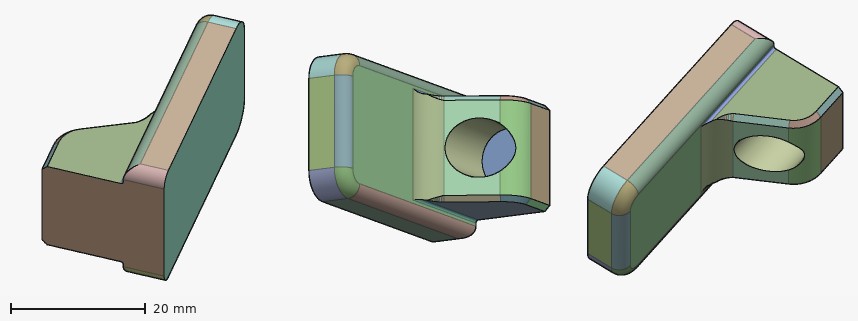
import cadquery as cq
import math

length = 38.0
height = 22.0
plate_thickness = 6.42
edge_round = 2.0
far_corner_radius = 4.0
near_corner_radius = edge_round

overall_depth = 19.15
boss_height = 16.15
boss_chamfer = 0.85
root_radius = 0.4
slope_angle = math.radians(28)
blend_radius = 5.0
boss_end_y = 18.35
taper_end_drop = 2.75
taper_steps = 8
nose_start_y = 5.55

hole_diameter = 9.0
hole_x = -13.75
hole_floor_y = 3.0

plate_x = -plate_thickness
boss_x = -overall_depth

turn = math.pi / 2 - slope_angle
foot_centre_x = plate_x - blend_radius
taper_end_turn = math.asin(taper_end_drop / blend_radius)


def make_plate():
    overrun = far_corner_radius
    plate = (
        cq.Workplane("XY")
        .box(plate_thickness, length + overrun, height, centered=(False, False, True))
        .translate((plate_x, -overrun, 0))
        .edges("|X and >Y").fillet(far_corner_radius)
        .faces("<X").edges("not <Y").fillet(edge_round)
    )
    envelope = (
        cq.Workplane("XY")
        .box(plate_thickness, length, height, centered=(False, False, True))
        .translate((plate_x, 0, 0))
        .edges("|X and <Y").fillet(near_corner_radius)
    )
    return plate.intersect(envelope)


def nose_point(angle):
    x = boss_x + blend_radius * (1 - math.cos(angle))
    y = nose_start_y + blend_radius * math.sin(angle)
    return (x, y)


def foot_point(angle, inset=0):
    radius = blend_radius + inset
    x = foot_centre_x + radius * math.cos(angle)
    y = boss_end_y - radius * math.sin(angle)
    return (x, y)


def make_sloped_block():
    solid = (
        cq.Workplane("XY")
        .moveTo(0, 0)
        .lineTo(boss_x, 0)
        .lineTo(boss_x, nose_start_y)
        .threePointArc(nose_point(turn / 2), nose_point(turn))
        .lineTo(*foot_point(turn))
        .lineTo(*foot_point(turn, plate_thickness))
        .close()
        .extrude(boss_height / 2, both=True)
    )
    return solid.edges("|Y and <X").chamfer(boss_chamfer)


def make_foot(foot_height):
    inner_x, inner_y = foot_point(turn, boss_chamfer)
    return (
        cq.Workplane("XY")
        .moveTo(*foot_point(turn))
        .threePointArc(foot_point(turn / 2), foot_point(0))
        .lineTo(0, boss_end_y)
        .lineTo(0, 0)
        .lineTo(inner_x, 0)
        .lineTo(inner_x, inner_y)
        .close()
        .extrude(foot_height / 2, both=True)
    )


def make_taper_cutter():
    clearance = 0.05
    wires = []
    for step in range(taper_steps + 1):
        angle = turn + (taper_end_turn - turn) * step / taper_steps
        drop = math.sin(angle) - math.sin(taper_end_turn)
        size = boss_chamfer * drop / (math.sin(turn) - math.sin(taper_end_turn))
        top = boss_height / 2
        section = [
            cq.Vector(*foot_point(angle, -clearance), top - size - clearance),
            cq.Vector(*foot_point(angle, size + clearance), top + clearance),
            cq.Vector(*foot_point(angle, -clearance), top + clearance),
        ]
        wires.append(cq.Wire.makePolygon(section, close=True))
    return cq.Workplane(cq.Solid.makeLoft(wires, True))


def make_root_fillets():
    root_x = plate_x - root_radius
    root_height = boss_height + 2 * root_radius
    strip = (
        cq.Workplane("XY")
        .box(2 * root_radius, boss_end_y, root_height, centered=(True, False, True))
        .translate((plate_x, 0, 0))
    )
    for side in (1, -1):
        cove = (
            cq.Workplane("XZ", origin=(root_x, 0, side * root_height / 2))
            .circle(root_radius)
            .extrude(-length)
        )
        strip = strip.cut(cove)
    return strip.intersect(make_foot(root_height))


def make_hole():
    return (
        cq.Workplane("XY")
        .circle(hole_diameter / 2)
        .extrude(length)
        .rotate((0, 0, 0), (1, 0, 0), -90)
        .translate((hole_x, hole_floor_y, 0))
    )


upper_taper = make_taper_cutter()
foot = make_foot(boss_height).cut(upper_taper).cut(upper_taper.mirror("XY"))
boss = make_sloped_block().union(foot).union(make_root_fillets())
result = make_plate().union(boss).cut(make_hole())